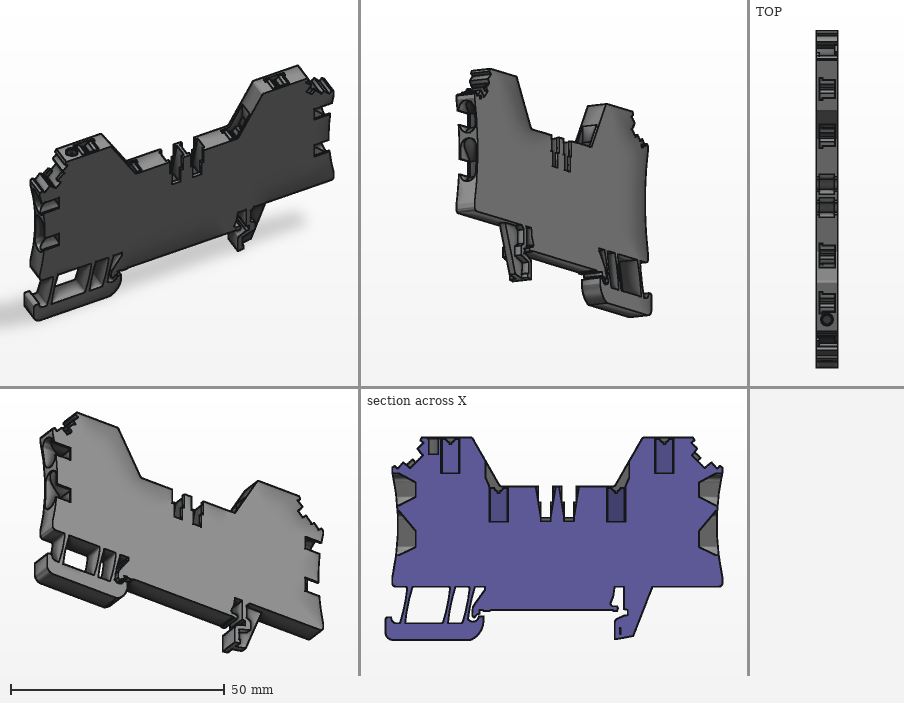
import cadquery as cq

THICKNESS = 5.1
MID_X = THICKNESS / 2
LENGTH = 79.1
HEIGHT = 47.55

END_Y = 38.8
BASE_Z = 12.5
SHELF_Z = 36.1
SLOPE_FOOT_Y = 13.45
SLOPE_TOP_Y = 20.0
SLOPE_RUN_PER_RISE = (SLOPE_TOP_Y - SLOPE_FOOT_Y) / (HEIGHT - SHELF_Z)
WAIST_TOP_Z = 39.5
WAIST_BOTTOM_Z = 14.55
WAIST_SAG = 1.35
MARKER_TEETH = [
    (31.8, HEIGHT), (32.2, 46.85), (31.4, 46.3), (32.8, 44.95), (32.2, 44.1),
    (35.4, 41.1), (36.2, 41.7), (37.5, 40.2), (38.15, 40.9), (END_Y, 40.4),
]
BOTTOM_CORNER_RADIUS = 0.95
CORNER_RADIUS = 0.6

SLOT_INNER_Y = 1.0
SLOT_OUTER_Y = 4.4
SLOT_STEP_Z = 32.4
SLOT_STEP = 0.55
SLOT_FLOOR_Z = 28.7
LEAD_IN_X = (0.7, 4.2)
LEAD_IN_FLARE = 0.6
LEAD_IN_END_Z = 28.9
LEAD_IN_FLOOR_Z = 27.9

PUSHER_TOWER_Y = 25.1
PUSHER_SHELF_Y = 13.8
PUSHER_HEIGHT = 7.9
PUSHER_SINK = 0.4
SHAFT_X = (0.7, 4.5)
SHAFT_FLANGE_END_X = 1.6
SHAFT_FLANGE_LENGTH = 5.2
SHAFT_STEM_LENGTH = 4.35
CLEARANCE = 0.15
GROOVE_WIDTH = 2.1
GROOVE_DEPTH = 0.8
BLADE_SLOT_WIDTH = 0.5
BLADE_SLOT_DEPTH = 1.2

RECESS_BACK_Y = 16.85
RECESS_WALL_HEIGHT = 3.9

WIRE_ENTRIES = [(31.6, 39.1, 33.6, 36.95), (19.95, 30.3, 21.85, 25.55)]
MOUTH_WIDTH = 4.3
MOUTH_DEPTH = 1.6
ENTRY_DEPTH = 5.5
SIDE_OPENING_X = 3.6
SIDE_OPENING_DEPTH = 5.15

TEST_HOLE_Y = -29.05
TEST_HOLE_DIAMETER = 2.2
TEST_HOLE_DEPTH = 3.95
TEST_HOLE_CHAMFER = 0.3
DIMPLE_Y = 36.2
DIMPLE_Z = 40.05
DIMPLE_DIAMETER = 0.8
DIMPLE_DEPTH = 0.8
MARKER_FACE_Y = 33.8
MARKER_FACE_Z = 42.6
MARKER_FACE_SPAN = (-2.1, 2.1)
MARKER_GROOVE_DEPTH = 1.0
MARKER_RIM = 0.7
NOTCH_SPAN = (-0.2, 2.1)
TAB_HEIGHT = 0.2

SEAT_Z = 7.05
HOOK_TIP_Y = 13.45
HOOK_TIP_Z = 4.75
HOOK_TIP_RADIUS = 0.95
WEB_THICKNESS = 1.6
LATCH_END_Y = END_Y - LENGTH
LATCH_FLOOR_Z = 3.95
LATCH_LIP_Z = 5.4
LATCH_LIP_RADIUS = 0.6
LATCH_HEEL_RADIUS = 1.8
LEG_TOP_CENTERS = [-19.95, -24.5, -34.6]
LEG_LEAN = 1.75
LEG_WIDTH = 1.3
LEG_WAIST_PINCH = 0.2
LEG_FILLET = 0.4


def profile():
    return cq.Workplane("YZ")


def plate(points, thickness=THICKNESS, start=0.0):
    """Extrude a closed (Y, Z) polygon along +X."""
    return profile().workplane(offset=start).polyline(points).close().extrude(thickness)


def box(x_range, y_range, z_range):
    size = [r[1] - r[0] for r in (x_range, y_range, z_range)]
    return cq.Workplane(cq.Solid.makeBox(*size, cq.Vector(x_range[0], y_range[0], z_range[0])))


def round_edge(body, y, z, radius):
    """Round the edge along X that lies at (y, z)."""
    return body.edges("|X").edges(cq.selectors.NearestToPointSelector((MID_X, y, z))).fillet(radius)


def both_ends(body):
    return body.union(body.mirror("XZ"))


def upper_housing():
    half = (
        profile()
        .polyline([(0, BASE_Z), (0, SHELF_Z), (SLOPE_FOOT_Y, SHELF_Z), (SLOPE_TOP_Y, HEIGHT)] + MARKER_TEETH)
        .lineTo(END_Y, WAIST_TOP_Z)
        .threePointArc((END_Y - WAIST_SAG, (WAIST_TOP_Z + WAIST_BOTTOM_Z) / 2), (END_Y, WAIST_BOTTOM_Z))
        .lineTo(END_Y, BASE_Z)
        .close()
        .extrude(THICKNESS)
    )
    half = round_edge(half, END_Y, BASE_Z, BOTTOM_CORNER_RADIUS)
    half = round_edge(half, SLOPE_FOOT_Y, SHELF_Z, CORNER_RADIUS)
    half = round_edge(half, SLOPE_TOP_Y, HEIGHT, CORNER_RADIUS)
    return both_ends(half)


def jumper_slots():
    outline = [
        (SLOT_INNER_Y, SHELF_Z), (SLOT_OUTER_Y, SHELF_Z),
        (SLOT_OUTER_Y, SLOT_STEP_Z), (SLOT_OUTER_Y - SLOT_STEP, SLOT_STEP_Z),
        (SLOT_OUTER_Y - SLOT_STEP, SLOT_FLOOR_Z), (SLOT_INNER_Y + SLOT_STEP, SLOT_FLOOR_Z),
        (SLOT_INNER_Y + SLOT_STEP, SLOT_STEP_Z), (SLOT_INNER_Y, SLOT_STEP_Z),
    ]
    lead_in = [
        (SLOT_INNER_Y - LEAD_IN_FLARE, SHELF_Z), (SLOT_OUTER_Y + LEAD_IN_FLARE, SHELF_Z),
        (SLOT_OUTER_Y - SLOT_STEP, LEAD_IN_END_Z), (SLOT_OUTER_Y - SLOT_STEP, LEAD_IN_FLOOR_Z),
        (SLOT_INNER_Y + SLOT_STEP, LEAD_IN_FLOOR_Z), (SLOT_INNER_Y + SLOT_STEP, LEAD_IN_END_Z),
    ]
    slot = plate(outline).union(plate(lead_in, LEAD_IN_X[1] - LEAD_IN_X[0], LEAD_IN_X[0]))
    return both_ends(slot)


def t_prism(y, bottom_z, top_z, inset):
    """T-shaped prism standing at y, with its sides moved in by inset."""
    flange_half = SHAFT_FLANGE_LENGTH / 2 - inset
    stem_half = SHAFT_STEM_LENGTH / 2 - inset
    left = SHAFT_X[0] + inset
    flange = box((left, SHAFT_FLANGE_END_X - inset), (y - flange_half, y + flange_half), (bottom_z, top_z))
    stem = box((left, SHAFT_X[1] - inset), (y - stem_half, y + stem_half), (bottom_z, top_z))
    return flange.union(stem)


def make_pusher(y, deck_z):
    """Release pusher with a rounded groove and a narrow blade slot across its top."""
    top_z = deck_z - PUSHER_SINK
    body = t_prism(y, top_z - PUSHER_HEIGHT, top_z, CLEARANCE)
    groove = (
        profile()
        .moveTo(y - GROOVE_WIDTH / 2, top_z)
        .threePointArc((y, top_z - GROOVE_DEPTH), (y + GROOVE_WIDTH / 2, top_z))
        .close()
        .extrude(THICKNESS)
    )
    blade_slot = box(
        (0, THICKNESS),
        (y - BLADE_SLOT_WIDTH / 2, y + BLADE_SLOT_WIDTH / 2),
        (top_z - BLADE_SLOT_DEPTH, top_z),
    )
    return body.cut(groove).cut(blade_slot)


def pusher_shaft(y, deck_z):
    return t_prism(y, deck_z - PUSHER_SINK - PUSHER_HEIGHT, deck_z, 0)


def slope_recesses():
    """Pockets that open each tower slope above its shelf pusher."""
    shaft_end_y = PUSHER_SHELF_Y + SHAFT_STEM_LENGTH / 2
    shaft_start_y = PUSHER_SHELF_Y - SHAFT_STEM_LENGTH / 2
    lip_z = SHELF_Z + (RECESS_BACK_Y - SLOPE_FOOT_Y) / SLOPE_RUN_PER_RISE
    wall_foot_z = lip_z - RECESS_WALL_HEIGHT
    outline = [
        (RECESS_BACK_Y, lip_z), (RECESS_BACK_Y, wall_foot_z), (shaft_end_y, SHELF_Z),
        (shaft_start_y, SHELF_Z), (shaft_start_y, lip_z),
    ]
    return both_ends(plate(outline, SHAFT_X[1] - SHAFT_X[0], SHAFT_X[0]))


def wire_entry(mouth_bottom, mouth_top, channel_bottom, channel_top):
    """Obround pocket in the -Y end whose floor and ceiling slope in to the height of the channel."""
    mouth = (
        cq.Workplane("XZ", origin=(MID_X, -END_Y, (mouth_top + mouth_bottom) / 2))
        .slot2D(mouth_top - mouth_bottom, MOUTH_WIDTH, 90)
        .extrude(-ENTRY_DEPTH)
    )
    slope_start_y = MOUTH_DEPTH - END_Y
    back_y = ENTRY_DEPTH - END_Y
    side_shape = plate([
        (-END_Y, mouth_bottom), (slope_start_y, mouth_bottom), (back_y, channel_bottom),
        (back_y, channel_top), (slope_start_y, mouth_top), (-END_Y, mouth_top),
    ])
    return mouth.intersect(side_shape)


def side_opening(channel_bottom, channel_top):
    """Opening from a wire channel through the +X side."""
    y_range = (-END_Y, SIDE_OPENING_DEPTH - END_Y)
    return box((SIDE_OPENING_X, THICKNESS), y_range, (channel_bottom, channel_top))


def test_hole():
    mouth = cq.Workplane("XY", origin=(MID_X, TEST_HOLE_Y, HEIGHT))
    hole = mouth.circle(TEST_HOLE_DIAMETER / 2).extrude(-TEST_HOLE_DEPTH)
    return hole.faces(">Z").workplane().circle(TEST_HOLE_DIAMETER / 2 + TEST_HOLE_CHAMFER).extrude(
        -TEST_HOLE_CHAMFER
    )


def marker_block(side, span, x_range, rise):
    """Block along the 45 degree marker face on the given side of Y = 0.

    It reaches from the groove floor to rise above the face; span is measured along the face.
    """
    return (
        cq.Workplane("YZ", origin=(x_range[0], side * MARKER_FACE_Y, MARKER_FACE_Z))
        .transformed(rotate=(0, 0, -45 * side))
        .center((span[0] + span[1]) / 2, (rise - MARKER_GROOVE_DEPTH) / 2)
        .rect(span[1] - span[0], rise + MARKER_GROOVE_DEPTH)
        .extrude(x_range[1] - x_range[0])
    )


def dimples():
    """Round blind holes in the -X side, below the marker teeth."""
    centers = profile().pushPoints([(DIMPLE_Y, DIMPLE_Z), (-DIMPLE_Y, DIMPLE_Z)])
    return centers.circle(DIMPLE_DIAMETER / 2).extrude(DIMPLE_DEPTH)


def rail_seat():
    """Central block that rests on the rail, with a claw at each end."""
    return plate([
        (13.45, BASE_Z), (13.1, 10.3), (12.4, 8.55), (12.8, 8.0), (14.0, 8.0), (14.25, 7.5),
        (14.0, 6.8), (13.1, 6.8), (13.0, SEAT_Z),
        (-15.5, SEAT_Z), (-16.0, 6.8), (-17.3, 6.8), (-17.5, SEAT_Z), (-18.3, SEAT_Z), (-18.2, 6.2),
        (-18.8, 6.0), (-19.55, 5.2), (-20.0, 5.85), (-19.9, 7.7), (-19.2, 8.7), (-17.0, 11.8), (-17.0, BASE_Z),
    ])


def rail_hook():
    """Bent hook strip, stiffened by a thinner triangular web at mid thickness."""
    strip = plate([
        (17.7, BASE_Z), (16.8, 11.55), (16.8, 8.2), (18.0, 7.5), (18.0, 5.3), (14.6, 4.1),
        (14.6, 1.5), (14.95, 1.35), (14.95, 0.4), (HOOK_TIP_Y, 0.15), (HOOK_TIP_Y, HOOK_TIP_Z), (15.7, 5.8),
        (16.45, 5.85), (16.45, SEAT_Z), (15.6, 7.3), (15.6, BASE_Z),
    ])
    strip = round_edge(strip, HOOK_TIP_Y, HOOK_TIP_Z, HOOK_TIP_RADIUS)
    web = plate(
        [
            (22.3, BASE_Z), (17.8, 0.95), (14.95, 0.4), (14.6, 4.1), (18.0, 5.3),
            (18.0, 7.5), (16.8, 8.2), (16.8, BASE_Z),
        ],
        WEB_THICKNESS,
        MID_X - WEB_THICKNESS / 2,
    )
    return strip.union(web)


def latch_leg(top_y):
    """Leaning spring leg, pinched at mid height."""
    half = LEG_WIDTH / 2
    foot_y = top_y - LEG_LEAN
    middle_y = (top_y + foot_y) / 2
    middle_z = (BASE_Z + LATCH_FLOOR_Z) / 2
    pinched_half = half - LEG_WAIST_PINCH
    return (
        profile()
        .moveTo(top_y + half, BASE_Z)
        .threePointArc((middle_y + pinched_half, middle_z), (foot_y + half, LATCH_FLOOR_Z))
        .lineTo(foot_y - half, LATCH_FLOOR_Z)
        .threePointArc((middle_y - pinched_half, middle_z), (top_y - half, BASE_Z))
        .close()
        .extrude(THICKNESS)
    )


def rail_latch():
    """Latch bar hanging from the housing on three spring legs."""
    latch = (
        profile()
        .moveTo(-17.3, 5.5)
        .lineTo(-18.4, 5.5)
        .threePointArc((-19.7, 4.35), (-21.0, 5.0))
        .lineTo(-21.4, LATCH_FLOOR_Z)
        .lineTo(-37.6, LATCH_FLOOR_Z)
        .threePointArc((-38.5, 4.3), (-38.9, LATCH_LIP_Z))
        .lineTo(LATCH_END_Y, LATCH_LIP_Z)
        .lineTo(LATCH_END_Y, 0)
        .lineTo(-20.4, 0)
        .threePointArc((-18.5, 1.35), (-17.3, 4.2))
        .close()
        .extrude(THICKNESS)
    )
    latch = round_edge(latch, LATCH_END_Y, 0, LATCH_HEEL_RADIUS)
    latch = round_edge(latch, LATCH_END_Y, LATCH_LIP_Z, LATCH_LIP_RADIUS)
    for top_y in LEG_TOP_CENTERS:
        latch = latch.union(latch_leg(top_y))
    return latch


def make_housing(seats):
    """Housing with all its cuts, including a shaft for each pusher seat (Y, deck Z)."""
    body = upper_housing().union(rail_seat()).union(rail_hook()).union(rail_latch())
    for leg_top_y in LEG_TOP_CENTERS:
        leg_side_y = leg_top_y - LEG_WIDTH / 2
        body = round_edge(body, leg_side_y, BASE_Z, LEG_FILLET)
        body = round_edge(body, leg_side_y - LEG_LEAN, LATCH_FLOOR_Z, LEG_FILLET)

    body = body.cut(jumper_slots()).cut(slope_recesses())
    for mouth_bottom, mouth_top, channel_bottom, channel_top in WIRE_ENTRIES:
        body = body.cut(both_ends(side_opening(channel_bottom, channel_top)))
        body = body.cut(both_ends(wire_entry(mouth_bottom, mouth_top, channel_bottom, channel_top)))
    body = body.cut(test_hole()).cut(dimples())

    for side in (1, -1):
        body = body.cut(marker_block(side, MARKER_FACE_SPAN, (MARKER_RIM, THICKNESS), TAB_HEIGHT))
        body = body.cut(marker_block(side, NOTCH_SPAN, (0, MARKER_RIM), TAB_HEIGHT))
        body = body.union(marker_block(side, NOTCH_SPAN, (THICKNESS - MARKER_RIM, THICKNESS), TAB_HEIGHT))

    for y, deck_z in seats:
        body = body.cut(pusher_shaft(y, deck_z))
    return body


pusher_seats = [
    (side * y, deck_z)
    for side in (1, -1)
    for y, deck_z in ((PUSHER_TOWER_Y, HEIGHT), (PUSHER_SHELF_Y, SHELF_Z))
]

housing = make_housing(pusher_seats)
pushers = [make_pusher(y, deck_z) for y, deck_z in pusher_seats]

result = cq.Compound.makeCompound([housing.val(), *[pusher.val() for pusher in pushers]])